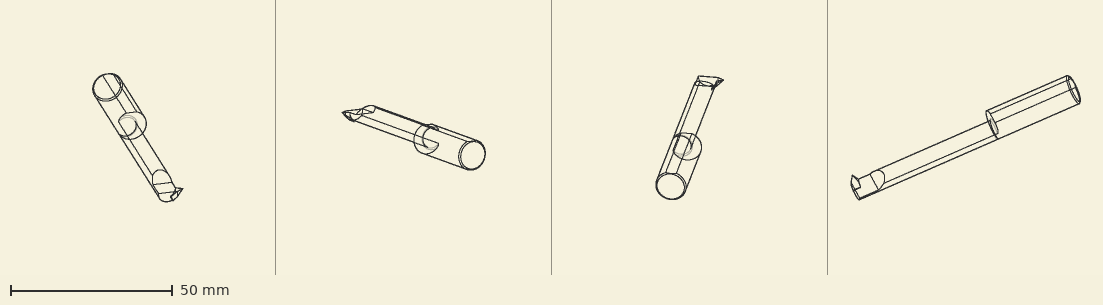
import cadquery as cq
import math

total_length = 76.2
shank_diameter = 9.5
shank_radius = shank_diameter / 2
shank_length = 28.1
flat_depth = 0.3
end_chamfer = 0.45

neck_radius = 3.2
neck_axis_y = -1.8
neck_side_y = neck_axis_y + neck_radius
root_fillet = 0.45

face_length = 6.5
face_start_x = total_length - face_length

tooth_height = 2.05
tooth_tip_setback = 1.45
tooth_width = 2.6
tooth_tip_x = total_length - tooth_tip_setback
tooth_base_start_x = total_length - tooth_width
tooth_depth = 3.1
tooth_overlap = 1.5


def cylinder_along_x(start_x, length, radius):
    return cq.Workplane("YZ", origin=(start_x, 0, 0)).circle(radius).extrude(length)


def make_shank():
    shank = cylinder_along_x(0, shank_length, shank_radius)
    shank = shank.faces("<X").chamfer(end_chamfer)
    flat_cut = cq.Workplane("XY").box(
        shank_length, shank_diameter, flat_depth, centered=(False, True, False)
    ).translate((0, 0, shank_radius - flat_depth))
    return shank.cut(flat_cut)


def make_neck():
    """Neck with a concave flare at the shank, kept inside the shank's cylinder."""
    flare_radius = neck_radius + root_fillet
    flare_end_x = shank_length + root_fillet
    arc_offset = root_fillet * (1 - math.sqrt(0.5))
    profile = (
        cq.Workplane("XY", origin=(0, neck_axis_y, 0))
        .moveTo(shank_length, 0)
        .lineTo(shank_length, flare_radius)
        .threePointArc((shank_length + arc_offset, neck_radius + arc_offset), (flare_end_x, neck_radius))
        .lineTo(total_length, neck_radius)
        .lineTo(total_length, 0)
        .close()
    )
    neck = profile.revolve(360, (0, 0, 0), (1, 0, 0))
    envelope = cylinder_along_x(shank_length, total_length - shank_length, shank_radius)
    return neck.intersect(envelope)


def make_face_cut():
    """Everything above the cutting face and its 45 degree slope."""
    cut_height = shank_diameter
    return (
        cq.Workplane("XZ")
        .moveTo(face_start_x, 0)
        .lineTo(total_length, 0)
        .lineTo(total_length, cut_height)
        .lineTo(face_start_x - cut_height, cut_height)
        .close()
        .extrude(shank_radius, both=True)
    )


def make_tooth():
    inner_y = neck_side_y - tooth_overlap
    blank = (
        cq.Workplane("XY")
        .moveTo(tooth_base_start_x, inner_y)
        .lineTo(tooth_base_start_x, neck_side_y)
        .lineTo(tooth_tip_x, neck_side_y + tooth_height)
        .lineTo(total_length, neck_side_y)
        .lineTo(total_length, inner_y)
        .close()
        .extrude(-tooth_depth)
    )
    clearance_envelope = (
        cq.Workplane("YZ")
        .moveTo(inner_y, 0)
        .lineTo(neck_side_y + tooth_height, 0)
        .lineTo(inner_y, -tooth_depth)
        .close()
        .extrude(total_length)
    )
    return blank.intersect(clearance_envelope)


result = make_shank().union(make_neck()).cut(make_face_cut()).union(make_tooth())